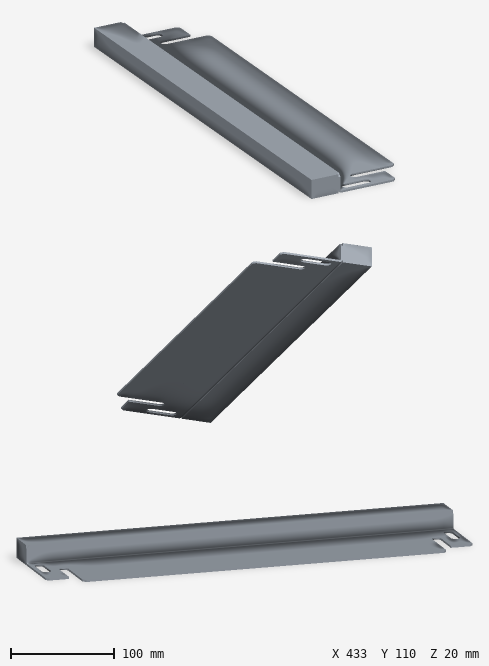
import cadquery as cq

length = 433.0
depth = 110.0
height = 20.0

bar_depth = 30.0
sheet = 2.0
inner_bend_radius = 1.0
outer_bend_radius = inner_bend_radius + sheet
corner_chamfer = 3.0

ear_width = 23.0
ear_end_y = 93.5
notch_width = 9.0
notch_bottom_y = 58.5
flange_half_width = length / 2 - ear_width - notch_width

slot_width = 9.0
slot_length = 31.0
slot_edge_distance = 9.0
slot_center_y = 54.0


def make_bar():
    """Solid rectangular bar in front of the bracket wall."""
    return cq.Workplane("XY").box(length, bar_depth, height, centered=(True, False, False))


def bent_sheet():
    """Sheet with an upright wall and a flat flange, joined by a rounded bend."""
    wall_back_y = bar_depth + sheet
    return (
        cq.Workplane("YZ")
        .moveTo(bar_depth, height)
        .lineTo(bar_depth, outer_bend_radius)
        .radiusArc((bar_depth + outer_bend_radius, 0), -outer_bend_radius)
        .lineTo(depth, 0)
        .lineTo(depth, sheet)
        .lineTo(wall_back_y + inner_bend_radius, sheet)
        .radiusArc((wall_back_y, sheet + inner_bend_radius), inner_bend_radius)
        .lineTo(wall_back_y, height)
        .close()
        .extrude(length / 2, both=True)
    )


def ear_clearance(side):
    """Cutter for the notch and the space behind the ear on one side."""
    notch_center_x = side * (flange_half_width + notch_width / 2)
    notch_start_y = notch_bottom_y + notch_width / 2
    notch = (
        cq.Workplane("XY")
        .center(notch_center_x, (notch_start_y + depth) / 2)
        .rect(notch_width, depth - notch_start_y)
        .extrude(sheet)
    )
    notch_end = (
        cq.Workplane("XY")
        .center(notch_center_x, notch_start_y)
        .circle(notch_width / 2)
        .extrude(sheet)
    )
    space_width = ear_width + notch_width
    space_behind_ear = (
        cq.Workplane("XY")
        .center(side * (length - space_width) / 2, (ear_end_y + depth) / 2)
        .rect(space_width, depth - ear_end_y)
        .extrude(sheet)
    )
    return notch.union(notch_end).union(space_behind_ear)


def ear_slot(side):
    """Cutter for the closed slot in one ear."""
    return (
        cq.Workplane("XY")
        .center(side * (length / 2 - slot_edge_distance), slot_center_y)
        .slot2D(slot_length, slot_width, 90)
        .extrude(sheet)
    )


def chamfer_corners(bracket):
    """Bevel the outer corners of the ears, the centre flange and the wall."""
    flange_corners = bracket.edges("|Z").edges(cq.selectors.BoxSelector(
        (-length, depth - corner_chamfer, -sheet), (length, depth + corner_chamfer, height)
    ))
    bracket = flange_corners.chamfer(corner_chamfer)
    for side in (-1, 1):
        ear_corner = cq.selectors.NearestToPointSelector((side * length / 2, ear_end_y, sheet / 2))
        wall_corner = cq.selectors.NearestToPointSelector((side * length / 2, bar_depth + sheet / 2, height))
        bracket = bracket.edges("|Z").edges(ear_corner).chamfer(corner_chamfer)
        bracket = bracket.edges("|Y").edges(wall_corner).chamfer(corner_chamfer)
    return bracket


def make_bracket():
    """Slotted sheet bracket that stands against the back of the bar."""
    bracket = bent_sheet()
    for side in (-1, 1):
        bracket = bracket.cut(ear_clearance(side)).cut(ear_slot(side))
    return chamfer_corners(bracket)


bar = make_bar()
bracket = make_bracket()
result = cq.Compound.makeCompound([bar.val(), bracket.val()])